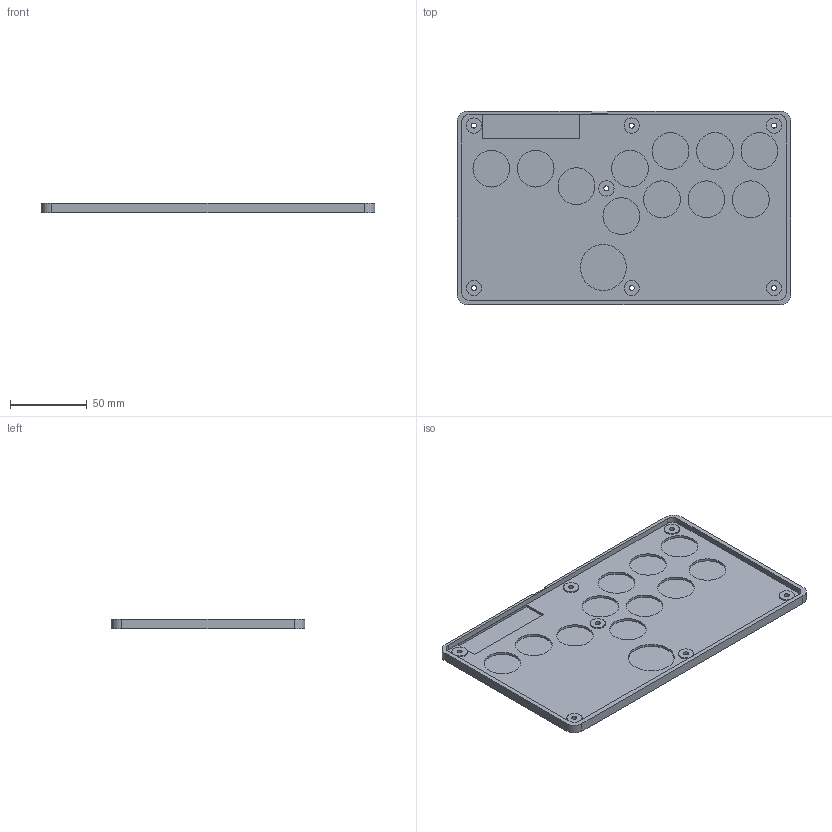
import cadquery as cq

length = 218.0
width = 126.4
height = 6.2
corner_radius = 7.0
wall = 3.0
back_wall = 2.0
floor_thickness = 2.4
inner_length = length - 2 * wall
inner_back = width / 2 - back_wall
inner_front = -width / 2 + wall
inner_width = inner_back - inner_front
inner_centre_y = (inner_back + inner_front) / 2
inner_corner_radius = 5.0

recess_depth = 1.6
small_button_diameter = 24.0
large_button_diameter = 30.0
button_pitch = 29.0
direction_row_start = (-86.65, 25.7)
direction_row_count = 2
upper_row_start = (30.4, 37.2)
upper_row_count = 3
lower_row_start = (24.8, 5.7)
lower_row_count = 3
single_button_centres = [(-31.05, 14.25), (3.9, 25.7), (-1.75, -5.3)]
large_button_centre = (-13.5, -38.8)

boss_diameter = 10.0
boss_height = 0.8
screw_hole_diameter = 3.3
screw_columns = [-98.0, 5.0, 98.0]
screw_rows = [-52.2, 53.8]
middle_screw = (-11.5, 12.8)
screw_centres = [(x, y) for x in screw_columns for y in screw_rows] + [middle_screw]

pocket_left = -92.7
pocket_right = -28.8
pocket_front = 45.3
pocket_back = 61.0

relief_centre_x = -16.0
relief_width = 11.0
relief_rim = 0.8
relief_depth = back_wall - relief_rim
relief_drop = relief_depth


def rounded_block(size_x, size_y, size_z, radius, bottom):
    """Block with rounded vertical edges, starting at Z = bottom."""
    block = cq.Workplane("XY").workplane(offset=bottom).rect(size_x, size_y).extrude(size_z)
    return block.edges("|Z").fillet(radius)


def button_row(start, count):
    """Centres of a row of buttons running along +X from the start point."""
    start_x, start_y = start
    return [(start_x + i * button_pitch, start_y) for i in range(count)]


def discs(centres, diameter, bottom, thickness):
    """Equal upright cylinders standing on Z = bottom."""
    plane = cq.Workplane("XY").workplane(offset=bottom)
    return plane.pushPoints(centres).circle(diameter / 2).extrude(thickness)


def make_tray():
    """Shallow open tray with a wall all round."""
    outside = rounded_block(length, width, height, corner_radius, 0)
    inside = rounded_block(inner_length, inner_width, height, inner_corner_radius, floor_thickness)
    inside = inside.translate((0, inner_centre_y, 0))
    return outside.cut(inside)


def cut_floor_recesses(body):
    """Sink the round button recesses and the rectangular pocket into the floor."""
    recess_bottom = floor_thickness - recess_depth
    small_button_centres = (
        button_row(direction_row_start, direction_row_count)
        + button_row(upper_row_start, upper_row_count)
        + button_row(lower_row_start, lower_row_count)
        + single_button_centres
    )
    small_buttons = discs(small_button_centres, small_button_diameter, recess_bottom, recess_depth)
    large_button = discs([large_button_centre], large_button_diameter, recess_bottom, recess_depth)
    pocket = cq.Workplane("XY").box(
        pocket_right - pocket_left, pocket_back - pocket_front, recess_depth, centered=False
    )
    pocket = pocket.translate((pocket_left, pocket_front, recess_bottom))
    return body.cut(small_buttons).cut(large_button).cut(pocket)


def add_screw_bosses(body):
    """Raise a low boss round each screw hole and drill it through the floor."""
    bosses = discs(screw_centres, boss_diameter, floor_thickness, boss_height)
    holes = discs(screw_centres, screw_hole_diameter, 0, height)
    return body.union(bosses).cut(holes)


def cut_plug_relief(body):
    """Slope away the top outer edge of the back wall over a short length."""
    back = width / 2
    wedge = (
        cq.Workplane("YZ")
        .workplane(offset=relief_centre_x - relief_width / 2)
        .moveTo(back - relief_depth, height)
        .lineTo(back, height)
        .lineTo(back, height - relief_drop)
        .close()
        .extrude(relief_width)
    )
    return body.cut(wedge)


result = cut_plug_relief(add_screw_bosses(cut_floor_recesses(make_tray())))